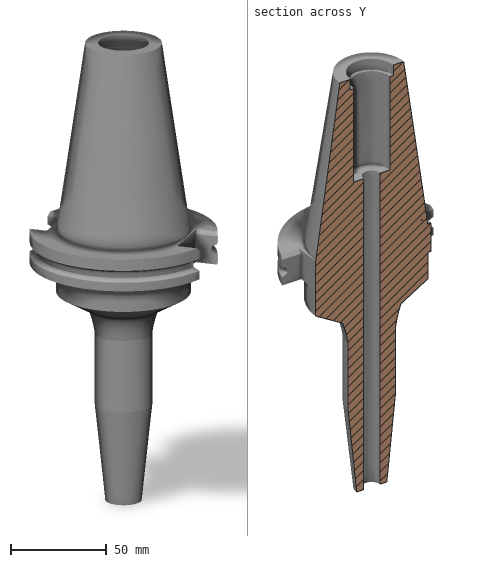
import cadquery as cq

TOTAL_HEIGHT = 251.5
GAUGE_Z = 150.0
FLANGE_TOP_Z = 148.5
FLANGE_BOTTOM_Z = 130.8
BODY_BOTTOM_Z = 115.0
CONE_BOTTOM_Z = 105.2
SHANK_TOP_Z = 92.3
NOSE_TOP_Z = 52.8

TAPER_SMALL_RADIUS = 20.1
TAPER_LARGE_RADIUS = 35.0
FLANGE_DIAMETER = 98.5
FLANGE_RADIUS = FLANGE_DIAMETER / 2
BODY_DIAMETER = 70.7
BODY_RADIUS = BODY_DIAMETER / 2
FLARE_RADIUS = 18.4
SHANK_RADIUS = 15.0
NOSE_TIP_RADIUS = 9.5
FLARE_SAG = 0.38

GROOVE_TOP_Z = 142.2
GROOVE_BOTTOM_Z = 135.5
GROOVE_FLOOR_RADIUS = 46.0
GROOVE_SLOPE_HEIGHT = 1.8

SLOT_WIDTH = 26.2
SLOT_CHAMFER = 2.0
LEFT_SLOT_FLOOR = 37.2
RIGHT_SLOT_FLOOR = BODY_RADIUS

RECESS_RADIUS = 5.0
RECESS_DEPTH = 0.13
RECESS_Z = 139.0

THROUGH_RADIUS = 5.0
DRAWBAR_RADIUS = 11.3
DRAWBAR_DEPTH = 63.0
COUNTERBORE_RADIUS = 13.3
COUNTERBORE_DEPTH = 6.3


def turned_body():
    """Revolve the outer half profile, with a concave flare above the shank."""
    flare_middle = (
        (FLARE_RADIUS + SHANK_RADIUS) / 2 - FLARE_SAG,
        (CONE_BOTTOM_Z + SHANK_TOP_Z) / 2,
    )
    profile = (
        cq.Workplane("XZ")
        .moveTo(0, 0)
        .lineTo(NOSE_TIP_RADIUS, 0)
        .lineTo(SHANK_RADIUS, NOSE_TOP_Z)
        .lineTo(SHANK_RADIUS, SHANK_TOP_Z)
        .threePointArc(flare_middle, (FLARE_RADIUS, CONE_BOTTOM_Z))
        .lineTo(BODY_RADIUS, BODY_BOTTOM_Z)
        .lineTo(BODY_RADIUS, FLANGE_BOTTOM_Z)
        .lineTo(FLANGE_RADIUS, FLANGE_BOTTOM_Z)
        .lineTo(FLANGE_RADIUS, GROOVE_BOTTOM_Z)
        .lineTo(GROOVE_FLOOR_RADIUS, GROOVE_BOTTOM_Z + GROOVE_SLOPE_HEIGHT)
        .lineTo(GROOVE_FLOOR_RADIUS, GROOVE_TOP_Z - GROOVE_SLOPE_HEIGHT)
        .lineTo(FLANGE_RADIUS, GROOVE_TOP_Z)
        .lineTo(FLANGE_RADIUS, FLANGE_TOP_Z)
        .lineTo(TAPER_LARGE_RADIUS, FLANGE_TOP_Z)
        .lineTo(TAPER_LARGE_RADIUS, GAUGE_Z)
        .lineTo(TAPER_SMALL_RADIUS, TOTAL_HEIGHT)
        .lineTo(0, TOTAL_HEIGHT)
        .close()
    )
    return profile.revolve(360, (0, 0, 0), (0, 1, 0))


def drive_slot(floor_distance, side):
    """Slot cutter on the given X side, widening at its top edges."""
    half_width = SLOT_WIDTH / 2
    chamfer_z = FLANGE_TOP_Z - SLOT_CHAMFER
    outline = [
        (-half_width, FLANGE_BOTTOM_Z),
        (half_width, FLANGE_BOTTOM_Z),
        (half_width, chamfer_z),
        (half_width + SLOT_CHAMFER, FLANGE_TOP_Z),
        (-half_width - SLOT_CHAMFER, FLANGE_TOP_Z),
        (-half_width, chamfer_z),
    ]
    return (
        cq.Workplane("YZ", origin=(side * floor_distance, 0, 0))
        .polyline(outline)
        .close()
        .extrude(side * (FLANGE_RADIUS - floor_distance))
    )


def slot_recess():
    """Shallow round recess in the left slot floor."""
    return (
        cq.Workplane("YZ", origin=(-LEFT_SLOT_FLOOR, 0, RECESS_Z))
        .circle(RECESS_RADIUS)
        .extrude(RECESS_DEPTH)
    )


def bore_from_top(radius, depth):
    """Axial bore cutter going down from the small end of the taper."""
    return cq.Workplane("XY", origin=(0, 0, TOTAL_HEIGHT)).circle(radius).extrude(-depth)


result = turned_body()
for slot_floor, slot_side in ((LEFT_SLOT_FLOOR, -1), (RIGHT_SLOT_FLOOR, 1)):
    result = result.cut(drive_slot(slot_floor, slot_side))
result = result.cut(slot_recess())
for bore_radius, bore_depth in (
    (THROUGH_RADIUS, TOTAL_HEIGHT),
    (DRAWBAR_RADIUS, DRAWBAR_DEPTH),
    (COUNTERBORE_RADIUS, COUNTERBORE_DEPTH),
):
    result = result.cut(bore_from_top(bore_radius, bore_depth))